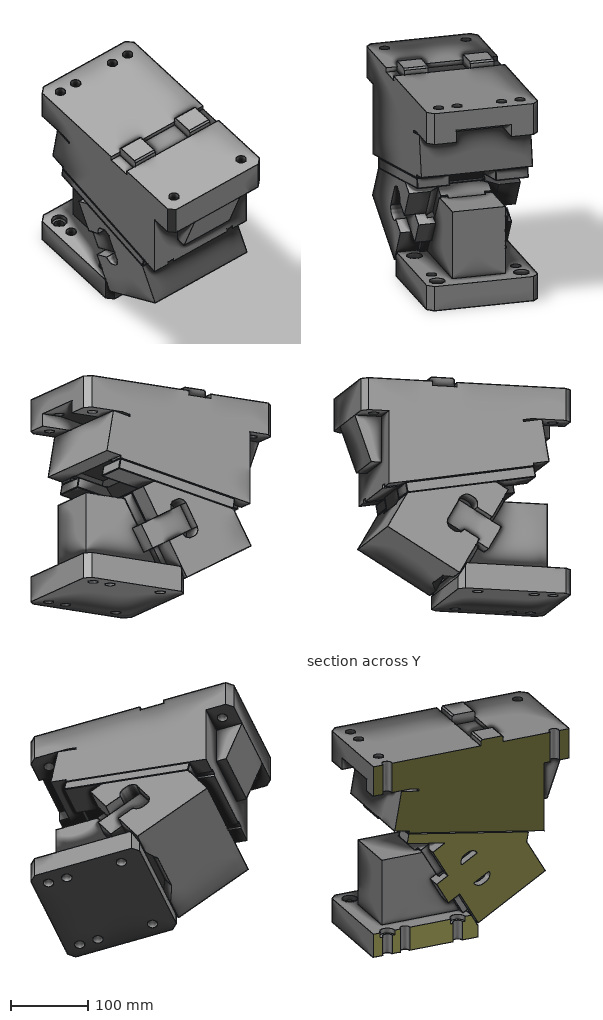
import cadquery as cq
import math


LENGTH = 280.0
WIDTH = 150.0
HEIGHT = 279.0
CORNER_CHAMFER = 8.0
HOLE_DIAMETER = 13.2
HOLE_INSET = 20.5

BASE_LENGTH = 150.0
BASE_THICKNESS = 33.3
BLOCK_LEFT = 22.5
BLOCK_TOP = 125.0
BLOCK_WIDTH = 71.5
BOLT_X = (HOLE_INSET, 121.0)
BOLT_Y = 56.8
COUNTERBORE_DIAMETER = 20.2
COUNTERBORE_DEPTH = 6.7
DOWEL_X = 45.5
CLEARANCE_TO_SLIDER = 1.7

RAIL_ANGLE = 30.0
RAIL_ORIGIN_X = 150.0
RAIL_ORIGIN_Z = 20.0
RAIL_BACK = -7.8
RAIL_DEPTH = 11.0
NOSE_HALF = 25.0
RAIL_BOTTOM = 19.5
RAIL_TOP = 128.8
FLANGE_TOP = 82.5
FLANGE_HALF = 46.0
RAIL_HALF = 34.2
RIB_WIDTH = 2 * NOSE_HALF
RIB_BACK = -16.8
RIB_HEIGHT = 16.8

SLIDER_DEPTH = 111.2
SLIDER_TOP = 130.2
HOOK_LEFT = -18.5
HOOK_RIGHT = 48.7
HOOK_BOTTOM = 53.0
HOOK_TOP = 87.5
HOOK_INNER_Y = 37.5
HOOK_OUTER_Y = 60.5
LOBE_LENGTH = 25.5
LOBE_WIDTH = 21.3
LOBE_OVERHANG = 9.0

SLIDE_ANGLE = 10.0
SLIDE_ORIGIN_X = 219.8
SLIDE_ORIGIN_Z = 121.5
BAR_LENGTH = 174.2
BAR_THICKNESS = 14.0
BAR_INNER_Y = 31.0
BAR_CHAMFER = 0.8
GUIDE_WIDTH = 61.0
GUIDE_REACH = 5.5

PLATE_TOP = 270.5
PLATE_BOTTOM = 228.2
HOLDER_RIGHT = 244.7
HEEL_T = -195.5
HEEL_TOP_N = 73.5
SLIT_TOP_N = 76.2
SLIT_END_T = -170.5
POCKET_END_T = -106.5
POCKET_TOP_N = 88.0
POCKET_CEILING_Z = 244.7
POCKET_WIDTH = 74.2
PAD_N = 14.8
PAD_START_T = -174.2
HEEL_BOTTOM_N = 18.0
PAD_GROOVE_INNER_Y = 43.7
PAD_GROOVE_OUTER_Y = 52.5
PAD_GROOVE_TOP_N = 18.8
GUIDE_START_T = -132.0
GUIDE_CHAMFER_N = 12.5
RECESS_TOP_N = 25.5
TAIL_WIDTH = POCKET_WIDTH
TAIL_BOTTOM_X = 258.2
TAIL_BOTTOM_Z = 168.0
PLATE_HOLE_X = (HOLE_INSET, LENGTH - HOLE_INSET)
PLATE_HOLE_Y = 55.0
INNER_HOLE_Y = 30.0
KEY_LEFT = 153.5
KEY_LENGTH = 32.8
KEY_WIDTH = 32.2
KEY_Y = 44.5
KEY_CHAMFER = 2.2
KEY_SEAT_DEPTH = 6.0

FAR = 560.0


def tilted_plane(x, z, degrees):
    """Plane parallel to XZ whose first axis is turned upwards from +X by the angle."""
    angle = math.radians(degrees)
    return cq.Plane((x, 0, z), (math.cos(angle), 0, math.sin(angle)), (0, -1, 0))


UPRIGHT = cq.Plane.XZ()
RAIL = tilted_plane(RAIL_ORIGIN_X, RAIL_ORIGIN_Z, RAIL_ANGLE)
SLIDE = tilted_plane(SLIDE_ORIGIN_X, SLIDE_ORIGIN_Z, -SLIDE_ANGLE)


def prism(plane, points, width):
    """Outline in the plane, extruded to the width about the middle of the part."""
    return cq.Workplane(plane).polyline(points).close().extrude(width / 2, both=True)


def slab(plane, left, right, bottom, top, width):
    """Rectangular prism about the middle of the part."""
    return prism(plane, [(left, bottom), (right, bottom), (right, top), (left, top)], width)


def side_slab(plane, left, right, bottom, top, inner_y, outer_y):
    """Two mirrored rectangular prisms between the inner and outer Y distance."""
    outer = slab(plane, left, right, bottom, top, 2 * outer_y)
    return outer.cut(slab(plane, left, right, bottom, top, 2 * inner_y))


def chamfered_plate(length, bottom, top):
    """Plate starting at X = 0 with its four upright corners chamfered."""
    plate = cq.Workplane().box(length, WIDTH, top - bottom, centered=(False, True, False))
    return plate.edges("|Z").chamfer(CORNER_CHAMFER).translate((0, 0, bottom))


def rail_profile(bottom, top):
    """Flange with a tapered nose, drawn across the rail and extruded along it."""
    across = cq.Plane(RAIL.toWorldCoords((0, bottom, 0)), RAIL.xDir, RAIL.yDir)
    outline = [
        (RAIL_BACK, -FLANGE_HALF),
        (0, -FLANGE_HALF),
        (RAIL_DEPTH, -NOSE_HALF),
        (RAIL_DEPTH, NOSE_HALF),
        (0, FLANGE_HALF),
        (RAIL_BACK, FLANGE_HALF),
    ]
    return cq.Workplane(across).polyline(outline).close().extrude(top - bottom)


def make_base():
    plate = chamfered_plate(BASE_LENGTH, 0, BASE_THICKNESS)
    plate = plate.cut(slab(RAIL, -CLEARANCE_TO_SLIDER, FAR, -FAR, FAR, FAR))
    bolts = [(x, y) for x in BOLT_X for y in (-BOLT_Y, BOLT_Y)]
    dowels = [(DOWEL_X, y) for y in (-BOLT_Y, BOLT_Y)]
    top = cq.Workplane(origin=(0, 0, BASE_THICKNESS))
    plate = plate.cut(top.pushPoints(bolts + dowels).circle(HOLE_DIAMETER / 2).extrude(-BASE_THICKNESS))
    plate = plate.cut(top.pushPoints(bolts).circle(COUNTERBORE_DIAMETER / 2).extrude(-COUNTERBORE_DEPTH))

    block = slab(UPRIGHT, BLOCK_LEFT, BASE_LENGTH, BASE_THICKNESS, BLOCK_TOP, BLOCK_WIDTH)
    block = block.cut(slab(RAIL, RAIL_BACK, FAR, -FAR, FAR, FAR))

    flange = rail_profile(RAIL_BOTTOM, FLANGE_TOP)
    rail = rail_profile(RAIL_BOTTOM, RAIL_TOP)
    rail = rail.intersect(slab(RAIL, RAIL_BACK, RAIL_DEPTH, RAIL_BOTTOM, RAIL_TOP, 2 * RAIL_HALF))
    rib = slab(RAIL, RIB_BACK, RAIL_BACK, RAIL_TOP - RIB_HEIGHT, RAIL_TOP, RIB_WIDTH)
    return plate.union(block).union(flange).union(rail).union(rib)


def slider_outline():
    """Corners of the slider body in rail coordinates; its top follows the slide direction."""
    origin = RAIL.toLocalCoords(cq.Vector(SLIDE_ORIGIN_X, 0, SLIDE_ORIGIN_Z))
    slope = math.tan(math.radians(SLIDE_ANGLE + RAIL_ANGLE))
    right_height = origin.y - (SLIDER_DEPTH - origin.x) * slope
    ridge = origin.x - (SLIDER_TOP - origin.y) / slope
    return [(0, 0), (SLIDER_DEPTH, 0), (SLIDER_DEPTH, right_height), (ridge, SLIDER_TOP), (0, SLIDER_TOP)]


def hook_pocket():
    """Side pockets that seat the hooks, with a relief lobe at each inner corner."""
    pocket = slab(RAIL, 0, HOOK_RIGHT, HOOK_BOTTOM, HOOK_TOP, WIDTH)
    inset = LOBE_WIDTH / 2 - LOBE_OVERHANG
    centers = [(HOOK_RIGHT - LOBE_LENGTH / 2, v) for v in (HOOK_BOTTOM + inset, HOOK_TOP - inset)]
    lobes = cq.Workplane(RAIL).pushPoints(centers).slot2D(LOBE_LENGTH, LOBE_WIDTH)
    lobes = lobes.extrude(WIDTH / 2, both=True)
    core = slab(RAIL, -FAR, FAR, -FAR, FAR, 2 * FLANGE_HALF)
    return pocket.union(lobes).cut(core)


def make_slider():
    body = prism(RAIL, slider_outline(), WIDTH)
    body = body.cut(rail_profile(0, SLIDER_TOP))
    body = body.cut(hook_pocket())
    body = body.cut(slab(SLIDE, -FAR, FAR, -GUIDE_REACH, BAR_THICKNESS, GUIDE_WIDTH))

    hooks = side_slab(RAIL, HOOK_LEFT, HOOK_RIGHT, HOOK_BOTTOM, HOOK_TOP, HOOK_INNER_Y, HOOK_OUTER_Y)
    hooks = hooks.cut(slab(RAIL, RAIL_BACK, FAR, -FAR, FAR, 2 * FLANGE_HALF))

    bars = side_slab(SLIDE, -BAR_LENGTH, 0, 0, BAR_THICKNESS, BAR_INNER_Y, WIDTH / 2)
    bars = bars.edges().chamfer(BAR_CHAMFER)
    return body.union(hooks).union(bars)


def plate_pocket():
    """Pocket under the plate, open to the left, with a flat ceiling that turns to the slide slope."""
    mouth = slab(UPRIGHT, 0, LENGTH, PLATE_BOTTOM, POCKET_CEILING_Z, POCKET_WIDTH)
    return mouth.intersect(slab(SLIDE, -FAR, POCKET_END_T, 0, POCKET_TOP_N, POCKET_WIDTH))


def holder_body():
    """Wedge below the plate; its heel on the left is set off by a thin slit and the pocket."""
    wedge = slab(SLIDE, HEEL_T, FAR, PAD_N, FAR, WIDTH)
    wedge = wedge.intersect(slab(UPRIGHT, 0, HOLDER_RIGHT, 0, PLATE_BOTTOM, WIDTH))
    heel_relief = slab(SLIDE, -FAR, PAD_START_T, PAD_N, HEEL_BOTTOM_N, WIDTH)
    slit = slab(SLIDE, -FAR, SLIT_END_T, HEEL_TOP_N, SLIT_TOP_N, WIDTH)
    pocket = slab(SLIDE, -FAR, POCKET_END_T, HEEL_TOP_N, POCKET_TOP_N, POCKET_WIDTH)
    return wedge.cut(heel_relief).cut(slit).cut(pocket)


def holder_tail():
    """Narrow tapered rib behind the wedge, under the right end of the plate."""
    outline = [
        (HOLDER_RIGHT, PLATE_BOTTOM),
        (HOLDER_RIGHT, TAIL_BOTTOM_Z),
        (TAIL_BOTTOM_X, TAIL_BOTTOM_Z),
        (LENGTH, PLATE_BOTTOM),
    ]
    return prism(UPRIGHT, outline, TAIL_WIDTH)


def holder_guide():
    """Central guide with a 45 degree lead-in that runs in the slider groove."""
    lead_in = GUIDE_CHAMFER_N + GUIDE_REACH
    outline = [
        (GUIDE_START_T, RECESS_TOP_N),
        (GUIDE_START_T, GUIDE_CHAMFER_N),
        (GUIDE_START_T + lead_in, -GUIDE_REACH),
        (0, -GUIDE_REACH),
        (0, RECESS_TOP_N),
    ]
    return prism(SLIDE, outline, GUIDE_WIDTH)


def make_holder():
    plate = chamfered_plate(LENGTH, PLATE_BOTTOM, PLATE_TOP)
    holes = [(x, y) for x in PLATE_HOLE_X for y in (-PLATE_HOLE_Y, PLATE_HOLE_Y)]
    holes += [(HOLE_INSET, y) for y in (-INNER_HOLE_Y, INNER_HOLE_Y)]
    drill = cq.Workplane(origin=(0, 0, PLATE_BOTTOM)).pushPoints(holes).circle(HOLE_DIAMETER / 2)
    plate = plate.cut(drill.extrude(PLATE_TOP - PLATE_BOTTOM))
    seat_bottom = PLATE_TOP - KEY_SEAT_DEPTH
    plate = plate.cut(slab(UPRIGHT, KEY_LEFT, KEY_LEFT + KEY_LENGTH, seat_bottom, PLATE_TOP, WIDTH))

    holder = plate.cut(plate_pocket()).union(holder_body()).union(holder_tail())

    grooves = side_slab(
        SLIDE, PAD_START_T, FAR, 0, PAD_GROOVE_TOP_N, PAD_GROOVE_INNER_Y, PAD_GROOVE_OUTER_Y
    )
    recess = slab(SLIDE, PAD_START_T, GUIDE_START_T, 0, RECESS_TOP_N, 2 * PAD_GROOVE_INNER_Y)
    holder = holder.cut(grooves).cut(recess).union(holder_guide())

    key = cq.Workplane().box(KEY_LENGTH, KEY_WIDTH, HEIGHT - seat_bottom, centered=(False, True, False))
    key = key.faces(">Z").edges("|Y").chamfer(KEY_CHAMFER)
    for y in (-KEY_Y, KEY_Y):
        holder = holder.union(key.translate((KEY_LEFT, y, seat_bottom)))
    return holder


base = make_base()
slider = make_slider()
holder = make_holder()

result = cq.Compound.makeCompound([base.solids().val(), slider.solids().val(), holder.solids().val()])